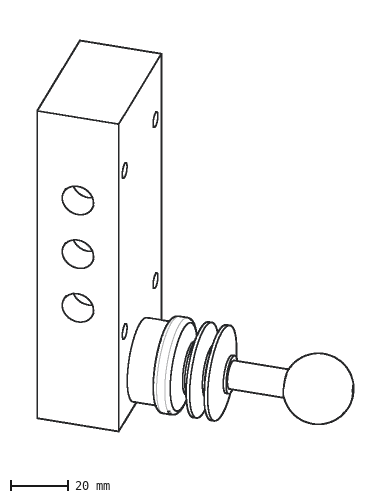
import cadquery as cq
import math

body_thickness = 30.0
body_width = 50.0
body_height = 126.0
body_mid_height = 70.0

port_diameter = 11.5
port_depth = 12.0
port_pitch = 22.0

mount_diameter = 5.5
mount_pitch_y = 36.0
mount_pitch_z = 66.0

lever_height = 15.0

neck_radius = 15.0
neck_length = 9.8
collar_radius = 17.3
collar_width = 6.2
collar_fillet = 1.6

ridge_radius = 17.0
ridge_width = 1.3
valley_radius = 9.6
valley_width = 0.8
first_valley = 3.0
first_ridge = 6.9
second_valley = 10.3
second_ridge = 13.5
bellows_end = 16.7
lip_radius = 6.8
lip_width = 1.0

rod_radius = 5.1
ball_radius = 12.5
ball_flat_radius = 6.0
overall_length = 107.98

collar_start = body_thickness + neck_length
collar_end = collar_start + collar_width
ball_centre = overall_length - ball_radius
ball_flat = ball_centre - math.sqrt(ball_radius**2 - ball_flat_radius**2)


def make_body():
    """Rectangular block with blind ports and through mounting holes."""
    block = cq.Workplane("XY").box(
        body_thickness, body_width, body_height, centered=(False, True, False)
    )
    ports = (
        cq.Workplane("XZ", origin=(body_thickness / 2, -body_width / 2, body_mid_height))
        .rarray(1, port_pitch, 1, 3)
        .circle(port_diameter / 2)
        .extrude(-port_depth)
    )
    mounting_holes = (
        cq.Workplane("YZ", origin=(0, 0, body_mid_height))
        .rarray(mount_pitch_y, mount_pitch_z, 2, 2)
        .circle(mount_diameter / 2)
        .extrude(body_thickness)
    )
    return block.cut(ports).cut(mounting_holes)


def lever_disc(start, end, radius):
    """Cylinder on the lever axis between two x positions."""
    return cq.Workplane("YZ", origin=(start, 0, lever_height)).circle(radius).extrude(end - start)


def make_collar():
    """Neck with the rounded collar at its end."""
    neck = lever_disc(body_thickness, collar_start, neck_radius)
    collar = lever_disc(collar_start, collar_end, collar_radius).edges().fillet(collar_fillet)
    return neck.union(collar)


def make_bellows():
    """Revolved bellows with two ridges, tapering to a small lip around the rod."""
    collar_face_radius = collar_radius - collar_fillet
    profile = [(collar_end, 0), (collar_end, collar_face_radius)]
    folds = (
        (first_valley, valley_width, valley_radius),
        (first_ridge, ridge_width, ridge_radius),
        (second_valley, valley_width, valley_radius),
        (second_ridge, ridge_width, ridge_radius),
    )
    for station, width, radius in folds:
        middle = collar_end + station
        profile.append((middle - width / 2, radius))
        profile.append((middle + width / 2, radius))
    lip_start = collar_end + bellows_end
    lip_end = lip_start + lip_width
    profile += [(lip_start, lip_radius), (lip_end, lip_radius), (lip_end, 0)]
    return (
        cq.Workplane("XZ", origin=(0, 0, lever_height))
        .polyline(profile)
        .close()
        .revolve(360, (0, 0, 0), (1, 0, 0))
    )


def make_knob():
    """Ball on the end of the rod, cut flat on the rod side."""
    ball = cq.Workplane("XY", origin=(ball_centre, 0, lever_height)).sphere(ball_radius)
    kept_side = lever_disc(ball_flat, overall_length, ball_radius)
    rod = lever_disc(collar_end, ball_centre, rod_radius)
    return ball.intersect(kept_side).union(rod)


result = make_body().union(make_collar()).union(make_bellows()).union(make_knob())